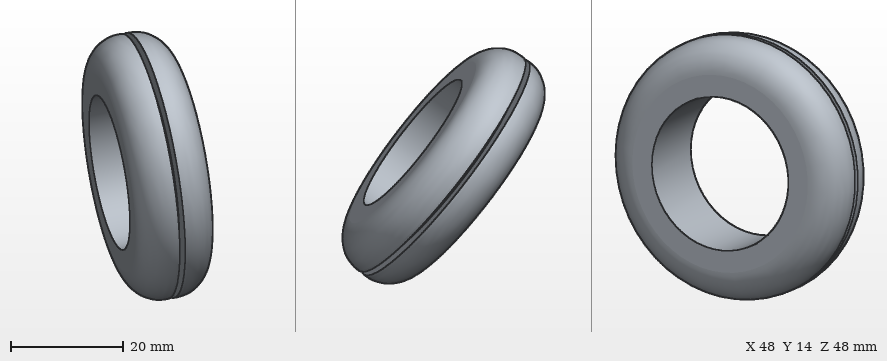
import cadquery as cq

outer_diameter = 48.0
bore_diameter = 28.0
groove_diameter = 40.0
ring_width = 14.0
groove_width = 1.0
rim_radius = 6.0


def make_disc(diameter, width):
    """Solid disc about the Y axis, centred on the origin."""
    return cq.Workplane("XZ", origin=(0, width / 2, 0)).circle(diameter / 2).extrude(width)


body = make_disc(outer_diameter, ring_width).edges("<Y or >Y").fillet(rim_radius)

groove = make_disc(outer_diameter, groove_width).cut(make_disc(groove_diameter, groove_width))

bore = make_disc(bore_diameter, ring_width)

result = body.cut(groove).cut(bore)